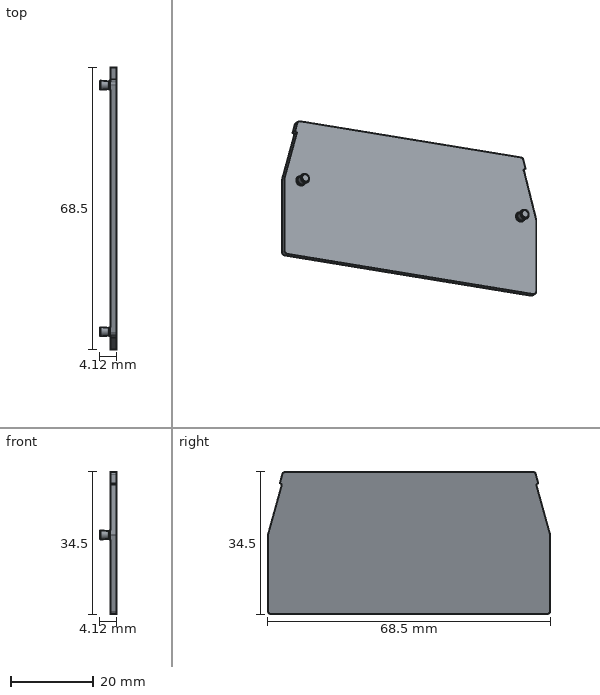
import cadquery as cq
import math

overall_depth = 4.12

plate_thickness = 1.5
plate_width = 68.5
plate_height = 34.5
side_lean = math.radians(15.5)
shoulder_height = 19.25
corner_radius = 0.75

lip_tip_half_width = 31.35
lip_tip_height = plate_height - 2.7
lip_root_height = plate_height - 3.1

pin_length = overall_depth - plate_thickness
pin_spacing = 59.8
pin_height = 19.2
pin_root_radius = 1.2
pin_neck_radius = 1.0
pin_head_radius = 1.15
pin_end_radius = 0.9
pin_root_flare_length = 0.4
pin_neck_length = 0.2
pin_end_taper_length = 0.3


def make_plate():
    half_width = plate_width / 2
    inward_per_rise = math.tan(side_lean)
    lip_root_half_width = half_width - (lip_root_height - shoulder_height) * inward_per_rise
    top_half_width = lip_tip_half_width - (plate_height - lip_tip_height) * inward_per_rise

    bottom_corner = (half_width, 0)
    shoulder = (half_width, shoulder_height)
    lip_root = (lip_root_half_width, lip_root_height)
    lip_tip = (lip_tip_half_width, lip_tip_height)
    top_corner = (top_half_width, plate_height)

    positive_side = [bottom_corner, shoulder, lip_root, lip_tip, top_corner]
    negative_side = [(-y, z) for y, z in reversed(positive_side)]
    outline = cq.Workplane("YZ").polyline(positive_side + negative_side).close()
    plate = outline.extrude(plate_thickness)

    for y, z in (bottom_corner, shoulder, top_corner):
        for side in (-1, 1):
            corner_edge = cq.selectors.NearestToPointSelector((plate_thickness / 2, side * y, z))
            plate = plate.edges("|X").edges(corner_edge).fillet(corner_radius)
    return plate


def make_pin(y):
    """Pin with a flared root, a short straight neck and a head that widens toward its tapered end."""
    neck_start = -pin_root_flare_length
    neck_end = neck_start - pin_neck_length
    head_edge = -pin_length + pin_end_taper_length
    half_profile = (
        cq.Workplane("XY")
        .moveTo(0, 0)
        .lineTo(0, pin_root_radius)
        .lineTo(neck_start, pin_neck_radius)
        .lineTo(neck_end, pin_neck_radius)
        .lineTo(head_edge, pin_head_radius)
        .lineTo(-pin_length, pin_end_radius)
        .lineTo(-pin_length, 0)
        .close()
    )
    pin = half_profile.revolve(360, (0, 0, 0), (1, 0, 0))
    return pin.translate((0, y, pin_height))


result = make_plate()
for pin_y in (-pin_spacing / 2, pin_spacing / 2):
    result = result.union(make_pin(pin_y))